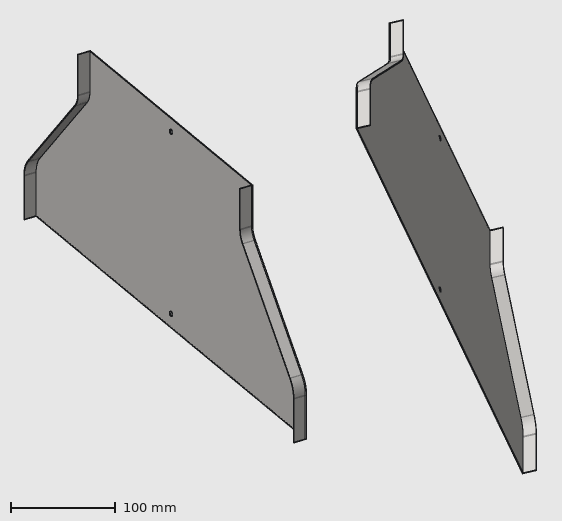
import cadquery as cq

base_width = 502.0
top_width = 302.0
height = 230.0
depth = 14.0
sheet_thickness = 1.0

lower_corner_z = 59.0
upper_corner_z = height - 52.0
lower_bend_radius = 30.0
upper_bend_radius = 20.0

hole_diameter = 5.0
hole_edge_distance = 15.0

half_base = base_width / 2
half_top = top_width / 2


def blank():
    """Solid block with the stepped-in outline and rounded side bends."""
    outline = [
        (-half_base, 0),
        (half_base, 0),
        (half_base, lower_corner_z),
        (half_top, upper_corner_z),
        (half_top, height),
        (-half_top, height),
        (-half_top, upper_corner_z),
        (-half_base, lower_corner_z),
    ]
    body = cq.Workplane("XZ").polyline(outline).close().extrude(depth)
    for corner_x, corner_z, radius in (
        (half_base, lower_corner_z, lower_bend_radius),
        (half_top, upper_corner_z, upper_bend_radius),
    ):
        for side in (-1, 1):
            corner = (side * corner_x, -depth / 2, corner_z)
            body = body.edges(cq.NearestToPointSelector(corner)).fillet(radius)
    return body


def hollow(body):
    """Open the front, top and bottom, leaving the back plate and the two side flanges."""
    return body.faces("<Y or >Z or <Z").shell(-sheet_thickness)


def drill_holes(body):
    """Cut the upper and lower holes through the back plate."""
    for hole_z in (hole_edge_distance, height - hole_edge_distance):
        cutter = (
            cq.Workplane("XZ")
            .center(0, hole_z)
            .circle(hole_diameter / 2)
            .extrude(depth)
        )
        body = body.cut(cutter)
    return body


result = drill_holes(hollow(blank()))